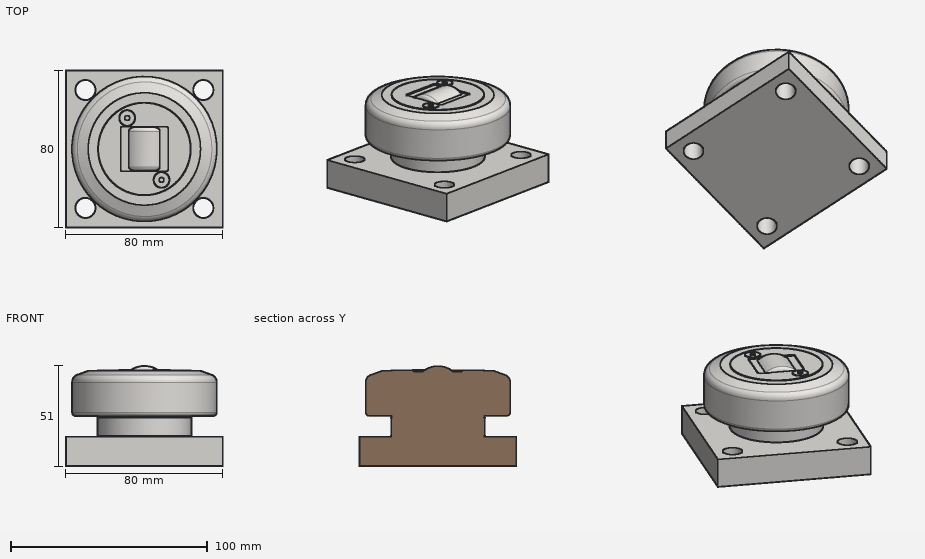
import cadquery as cq
import math

plate_side = 80.0
plate_thickness = 15.0
plate_hole_diameter = 10.11
plate_hole_offset = 30.0

neck_diameter = 48.0
neck_height = 9.85
pin_diameter = 47.3
pin_top = 48.85
pin_chamfer = 0.2
neck_chamfer = (neck_diameter - pin_diameter) / 2

roller_diameter = 73.8
roller_bottom = 25.4
roller_lower_fillet = 2.0
roller_upper_fillet = 4.0
roller_rim_top = 42.7
roller_face_radius = 28.6
cone_angle = math.radians(20)

pocket_length_x = 24.2
pocket_length_y = 22.8
pocket_corner_radius = 1.0
pocket_depth = 0.7
side_roller_top = 51.0
side_roller_radius = 12.5
side_roller_length = 22.2
side_roller_fillet = 2.1

screw_circle_radius = 18.0
screw_angles = (119.0, 299.0)
screw_head_top_diameter = 7.8
screw_head_chamfer = 0.2
screw_head_height = 0.25
screw_socket_diameter = 2.5
screw_socket_depth = 0.6


def make_plate():
    plate = cq.Workplane("XY").box(
        plate_side, plate_side, plate_thickness, centered=(True, True, False)
    )
    return (
        plate.faces(">Z")
        .workplane()
        .rect(2 * plate_hole_offset, 2 * plate_hole_offset, forConstruction=True)
        .vertices()
        .hole(plate_hole_diameter)
    )


def make_pin():
    neck = (
        cq.Workplane("XY", origin=(0, 0, plate_thickness))
        .circle(neck_diameter / 2)
        .extrude(neck_height)
        .edges()
        .chamfer(neck_chamfer)
    )
    pin = (
        cq.Workplane("XY", origin=(0, 0, plate_thickness))
        .circle(pin_diameter / 2)
        .extrude(pin_top - plate_thickness)
        .faces(">Z")
        .chamfer(pin_chamfer)
    )
    return neck.union(pin)


def make_roller():
    radius = roller_diameter / 2
    arc_centre_r = radius - roller_upper_fillet
    middle_angle = (math.pi / 2 - cone_angle) / 2

    def on_rim_arc(angle):
        return (
            arc_centre_r + roller_upper_fillet * math.cos(angle),
            roller_rim_top + roller_upper_fillet * math.sin(angle),
        )

    cone_start = on_rim_arc(math.pi / 2 - cone_angle)
    face_z = cone_start[1] + (cone_start[0] - roller_face_radius) * math.tan(cone_angle)
    lower_arc_middle = roller_lower_fillet * (1 - math.sqrt(0.5))
    return (
        cq.Workplane("XZ")
        .moveTo(0, roller_bottom)
        .lineTo(radius - roller_lower_fillet, roller_bottom)
        .threePointArc(
            (radius - lower_arc_middle, roller_bottom + lower_arc_middle),
            (radius, roller_bottom + roller_lower_fillet),
        )
        .lineTo(radius, roller_rim_top)
        .threePointArc(on_rim_arc(middle_angle), cone_start)
        .lineTo(roller_face_radius, face_z)
        .lineTo(0, face_z)
        .close()
        .revolve(360, (0, 0, 0), (0, 1, 0))
    )


def make_pocket():
    return (
        cq.Workplane("XY", origin=(0, 0, pin_top - pocket_depth))
        .rect(pocket_length_x, pocket_length_y)
        .extrude(pocket_depth)
        .edges("|Z")
        .fillet(pocket_corner_radius)
    )


def make_side_roller():
    return (
        cq.Workplane("XZ", origin=(0, side_roller_length / 2, side_roller_top - side_roller_radius))
        .circle(side_roller_radius)
        .extrude(side_roller_length)
        .edges()
        .fillet(side_roller_fillet)
    )


def screw_positions():
    return [
        (
            screw_circle_radius * math.cos(math.radians(angle)),
            screw_circle_radius * math.sin(math.radians(angle)),
        )
        for angle in screw_angles
    ]


def make_screw_heads():
    return (
        cq.Workplane("XY", origin=(0, 0, pin_top))
        .pushPoints(screw_positions())
        .circle(screw_head_top_diameter / 2 + screw_head_chamfer)
        .extrude(screw_head_height)
        .faces(">Z")
        .chamfer(screw_head_chamfer)
    )


def make_screw_sockets():
    return (
        cq.Workplane("XY", origin=(0, 0, pin_top + screw_head_height))
        .pushPoints(screw_positions())
        .circle(screw_socket_diameter / 2)
        .extrude(-screw_socket_depth)
    )


body = make_plate().union(make_pin()).union(make_roller()).cut(make_pocket())
result = body.union(make_side_roller()).union(make_screw_heads()).cut(make_screw_sockets())